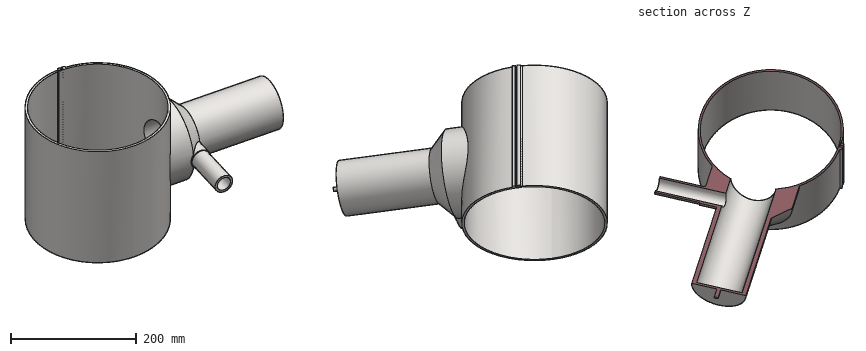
import cadquery as cq

ring_height = 225.0
ring_inner_radius = 112.5
wall = 4.0
ring_outer_radius = ring_inner_radius + wall

seam_reach = 119.5
seam_width = 13.5
seam_gap = 2.5
seam_round = 1.5
tongue_radius = 114.5
tongue_clearance = 0.5
tongue_tip_y = -7.0
tongue_tip_gap = 2.5

branch_radius = 45.3
branch_bore_radius = 37.0
branch_end = 316.5
collar_radius = 72.5
collar_end = 135.5
cone_end = collar_end + collar_radius - branch_radius
end_cap = 4.5

pin_radius = 3.5
pin_end = 448 - ring_outer_radius

outlet_y = 148.0
outlet_radius = 16.0
outlet_bore_radius = 12.0
outlet_end = 148.0
socket_radius = 17.5
socket_end = 73.5


def upright_cylinder(radius):
    return cq.Workplane("XY").circle(radius).extrude(ring_height / 2, both=True)


def rod_along_y(radius, end):
    return cq.Workplane("XZ").circle(radius).extrude(-end)


def rod_along_x(radius, end):
    return cq.Workplane("YZ").center(outlet_y, 0).circle(radius).extrude(end)


def seam_block(outer_x, inner_x, low_y, high_y):
    return (
        cq.Workplane("XY")
        .center((outer_x + inner_x) / 2, (low_y + high_y) / 2)
        .box(inner_x - outer_x, high_y - low_y, ring_height)
    )


branch = (
    cq.Workplane("XY")
    .polyline([
        (0, 0),
        (collar_radius, 0),
        (collar_radius, collar_end),
        (branch_radius, cone_end),
        (branch_radius, branch_end),
        (0, branch_end),
    ])
    .close()
    .revolve(360, (0, 0, 0), (0, 1, 0))
)
pin = rod_along_y(pin_radius, pin_end)
socket = rod_along_x(socket_radius, socket_end)
outlet = rod_along_x(outlet_radius, outlet_end)

lips = seam_block(-seam_reach, -ring_inner_radius, -seam_width / 2, seam_width / 2)
lips = lips.edges("|Z and <X").fillet(seam_round)

body = upright_cylinder(ring_outer_radius).union(branch).union(socket).union(outlet).union(lips)

body = body.cut(upright_cylinder(ring_inner_radius))
body = body.cut(rod_along_y(branch_bore_radius, branch_end - end_cap))
body = body.cut(rod_along_x(outlet_bore_radius, outlet_end))

gap_floor_x = -tongue_radius
gap_roof_x = gap_floor_x - tongue_clearance
gap_end_y = tongue_tip_y - tongue_tip_gap
body = body.cut(seam_block(-seam_reach, gap_floor_x, -seam_gap / 2, seam_gap / 2))
body = body.cut(seam_block(gap_roof_x, gap_floor_x, gap_end_y, seam_gap / 2))
body = body.cut(seam_block(gap_roof_x, gap_floor_x + wall, gap_end_y, tongue_tip_y))

result = body.union(pin.cut(rod_along_y(branch_radius, branch_end)))